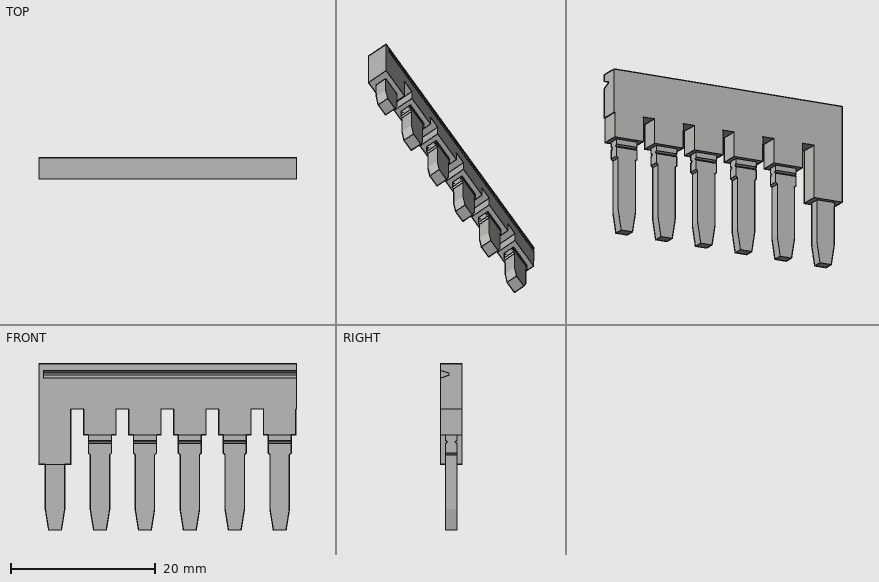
import cadquery as cq

length = 35.6
thickness = 3.0
height = 23.0

pin_count = 6
end_tooth_width = 4.4
tooth_width = 4.5
end_step = 0.1
first_pin_x = tooth_width / 2
last_pin_x = length - end_step - tooth_width / 2
pitch = (last_pin_x - first_pin_x) / (pin_count - 1)
bar_depth = 6.3
tooth_bottom = 9.85
end_tooth_bottom = 13.92

pin_thickness = 1.6
pin_width = 2.7
tip_width = 1.78
tip_length = 2.9
neck_width = 3.2
neck_bottom = 12.35
shoulder_height = 0.25
pin_front = (thickness - pin_thickness) / 2
pin_back = pin_front + pin_thickness

neck_groove_top = 10.6
neck_groove_bottom = 11.05
neck_groove_floor = (neck_groove_top + neck_groove_bottom) / 2
neck_groove_depth = 0.3

marker_start = 0.68
marker_top = 0.95
marker_bottom = 2.03
marker_floor_top = 1.3
marker_floor_bottom = 1.6
marker_depth = 1.17


def plate(x_left, width, depth):
    """Full-thickness block reaching from the top face down by depth."""
    block = cq.Workplane("XY").box(width, thickness, depth, centered=False)
    return block.translate((x_left, 0, -depth))


def extrude_along_x(points, x_start, x_length):
    """Prism with a (Y, Z) section, starting at x_start and running toward +X."""
    return cq.Workplane("YZ", origin=(x_start, 0, 0)).polyline(points).close().extrude(x_length)


def symmetric_pin(x_center, half_outline):
    """Pin whose right-hand edge is given as (distance from centre line, Z) points."""
    right = [(x_center + half, z) for half, z in half_outline]
    left = [(x_center - half, z) for half, z in reversed(half_outline)]
    profile = cq.Workplane("XZ", origin=(0, pin_front, 0)).polyline(right + left).close()
    return profile.extrude(-pin_thickness)


def neck_groove(x_center, face_y, inward):
    """V groove cutter for one pin face; inward is the Y direction into the pin."""
    section = [
        (face_y, -neck_groove_top),
        (face_y + inward * neck_groove_depth, -neck_groove_floor),
        (face_y, -neck_groove_bottom),
    ]
    return extrude_along_x(section, x_center - neck_width / 2, neck_width)


pin_tip = [
    (pin_width / 2, tip_length - height),
    (tip_width / 2, -height),
]
end_pin_outline = [(pin_width / 2, -end_tooth_bottom)] + pin_tip
necked_pin_outline = [
    (neck_width / 2, -tooth_bottom),
    (neck_width / 2, -neck_bottom),
    (pin_width / 2, -neck_bottom - shoulder_height),
] + pin_tip

body = plate(0, length, bar_depth)
body = body.union(plate(0, end_tooth_width, end_tooth_bottom))
body = body.union(symmetric_pin(first_pin_x, end_pin_outline))

for index in range(1, pin_count):
    pin_x = first_pin_x + index * pitch
    pin = symmetric_pin(pin_x, necked_pin_outline)
    pin = pin.cut(neck_groove(pin_x, pin_front, 1))
    pin = pin.cut(neck_groove(pin_x, pin_back, -1))
    body = body.union(plate(pin_x - tooth_width / 2, tooth_width, tooth_bottom))
    body = body.union(pin)

marker_section = [
    (0, -marker_top),
    (marker_depth, -marker_floor_top),
    (marker_depth, -marker_floor_bottom),
    (0, -marker_bottom),
]
result = body.cut(extrude_along_x(marker_section, marker_start, length - marker_start))